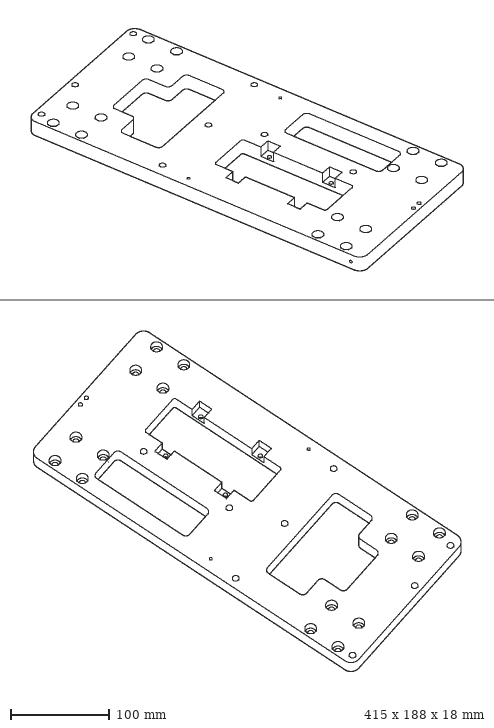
import cadquery as cq

LENGTH = 415.0
WIDTH = 188.0
THICKNESS = 18.0
PLATE_CORNER_RADIUS = 10.0

FIXING_OUTER_X = 181.5
FIXING_OUTER_Y = 85.0
FIXING_PITCH = 35.0
FIXING_DIAMETER = 6.5
COUNTERBORE_DIAMETER = 12.0
COUNTERBORE_DEPTH = 9.0

PLAIN_DIAMETER = 6.8
EDGE_COLUMN_X = -199.5
INNER_COLUMN_X = EDGE_COLUMN_X + 150.0
COLUMN_MIDDLE_Y = 2.0
COLUMN_PITCH = 82.0
EDGE_LOWER_HOLE_Y = -20.0

PIN_DIAMETER = 3.0
PIN_X = -15.25
PIN_MIDDLE_Y = -1.0
PIN_SPACING = 164.0

PAIR_DIAMETER = 4.2
PAIR_X = 201.5
PAIR_MIDDLE_Y = 11.5
PAIR_SPACING = 10.0

STEPPED_RIGHT_X = -67.5
STEPPED_TALL_LENGTH = 50.0
STEPPED_TALL_WIDTH = 118.0
STEPPED_TOTAL_LENGTH = 80.0
STEPPED_ARM_WIDTH = 60.0
WINDOW_RADIUS = 5.0

UPPER_WINDOW_X = 79.5
UPPER_WINDOW_Y = 56.0
UPPER_WINDOW_LENGTH = 120.0
UPPER_WINDOW_WIDTH = 40.0

LOWER_WINDOW_X = 61.5
LOWER_WINDOW_Y = -23.0
LOWER_WINDOW_LENGTH = 138.0
LOWER_WINDOW_WIDTH = 50.0
LOWER_WINDOW_RADIUS = 2.5
FLANKING_HOLE_SPACING = 110.0
FLANKING_HOLE_Y = 21.5

NOTCH_LENGTH = 15.5
NOTCH_SPACING = 76.5
NOTCH_OVERALL_WIDTH = 75.0
NOTCH_DEPTH = 12.0
NOTCH_HOLE_DIAMETER = 4.5
NOTCH_HOLE_SPACING_Y = 58.5

CROSS_HOLE_DIAMETER = 3.0
CROSS_HOLE_X = 193.5
CROSS_HOLE_DEPTH = 12.0


def mirrored_pair(middle, spacing):
    """Two coordinates spaced evenly about a middle value."""
    return [middle - spacing / 2, middle + spacing / 2]


def grid(x_values, y_values):
    """Every (x, y) combination of the given coordinates."""
    return [(x, y) for x in x_values for y in y_values]


def through_holes(points, diameter):
    """Cylinders through the full plate thickness."""
    return cq.Workplane("XY").pushPoints(points).circle(diameter / 2).extrude(THICKNESS)


def block(x, y, length, width):
    """Full-thickness block centred at (x, y)."""
    return cq.Workplane("XY").center(x, y).rect(length, width).extrude(THICKNESS)


def make_plate():
    return block(0, 0, LENGTH, WIDTH).edges("|Z").fillet(PLATE_CORNER_RADIUS)


def cut_fixing_holes(plate):
    inner_x = FIXING_OUTER_X - FIXING_PITCH
    inner_y = FIXING_OUTER_Y - FIXING_PITCH
    points = grid(
        [-FIXING_OUTER_X, -inner_x, inner_x, FIXING_OUTER_X],
        [-FIXING_OUTER_Y, -inner_y, inner_y, FIXING_OUTER_Y],
    )
    counterbores = (
        cq.Workplane("XY", origin=(0, 0, THICKNESS))
        .pushPoints(points)
        .circle(COUNTERBORE_DIAMETER / 2)
        .extrude(-COUNTERBORE_DEPTH)
    )
    return plate.cut(through_holes(points, FIXING_DIAMETER)).cut(counterbores)


def cut_plain_holes(plate):
    column_ends = mirrored_pair(COLUMN_MIDDLE_Y, 2 * COLUMN_PITCH)
    points = grid([EDGE_COLUMN_X, INNER_COLUMN_X], column_ends)
    points.append((EDGE_COLUMN_X, EDGE_LOWER_HOLE_Y))
    points.append((INNER_COLUMN_X, COLUMN_MIDDLE_Y))
    points += grid(mirrored_pair(LOWER_WINDOW_X, FLANKING_HOLE_SPACING), [FLANKING_HOLE_Y])
    return plate.cut(through_holes(points, PLAIN_DIAMETER))


def cut_small_holes(plate):
    pins = grid([PIN_X], mirrored_pair(PIN_MIDDLE_Y, PIN_SPACING))
    pair = grid([PAIR_X], mirrored_pair(PAIR_MIDDLE_Y, PAIR_SPACING))
    return plate.cut(through_holes(pins, PIN_DIAMETER)).cut(through_holes(pair, PAIR_DIAMETER))


def cut_stepped_window(plate):
    tall_x = STEPPED_RIGHT_X - STEPPED_TALL_LENGTH / 2
    arm_x = STEPPED_RIGHT_X - STEPPED_TOTAL_LENGTH / 2
    tall = block(tall_x, 0, STEPPED_TALL_LENGTH, STEPPED_TALL_WIDTH)
    arm = block(arm_x, 0, STEPPED_TOTAL_LENGTH, STEPPED_ARM_WIDTH)
    window = tall.union(arm).clean().edges("|Z").fillet(WINDOW_RADIUS)
    return plate.cut(window)


def cut_upper_window(plate):
    window = block(UPPER_WINDOW_X, UPPER_WINDOW_Y, UPPER_WINDOW_LENGTH, UPPER_WINDOW_WIDTH)
    return plate.cut(window.edges("|Z").fillet(WINDOW_RADIUS))


def cut_lower_window(plate):
    window = block(LOWER_WINDOW_X, LOWER_WINDOW_Y, LOWER_WINDOW_LENGTH, LOWER_WINDOW_WIDTH)
    return plate.cut(window.edges("|Z").fillet(LOWER_WINDOW_RADIUS))


def cut_notches(plate):
    notch_x = mirrored_pair(LOWER_WINDOW_X, NOTCH_SPACING)
    slots = (
        cq.Workplane("XY", origin=(0, 0, THICKNESS))
        .pushPoints(grid(notch_x, [LOWER_WINDOW_Y]))
        .rect(NOTCH_LENGTH, NOTCH_OVERALL_WIDTH)
        .extrude(-NOTCH_DEPTH)
    )
    holes = grid(notch_x, mirrored_pair(LOWER_WINDOW_Y, NOTCH_HOLE_SPACING_Y))
    return plate.cut(slots).cut(through_holes(holes, NOTCH_HOLE_DIAMETER))


def cut_cross_hole(plate):
    hole = (
        cq.Workplane("XZ", origin=(CROSS_HOLE_X, -WIDTH / 2, THICKNESS / 2))
        .circle(CROSS_HOLE_DIAMETER / 2)
        .extrude(-CROSS_HOLE_DEPTH)
    )
    return plate.cut(hole)


result = make_plate()
result = cut_fixing_holes(result)
result = cut_plain_holes(result)
result = cut_small_holes(result)
result = cut_stepped_window(result)
result = cut_upper_window(result)
result = cut_lower_window(result)
result = cut_notches(result)
result = cut_cross_hole(result)